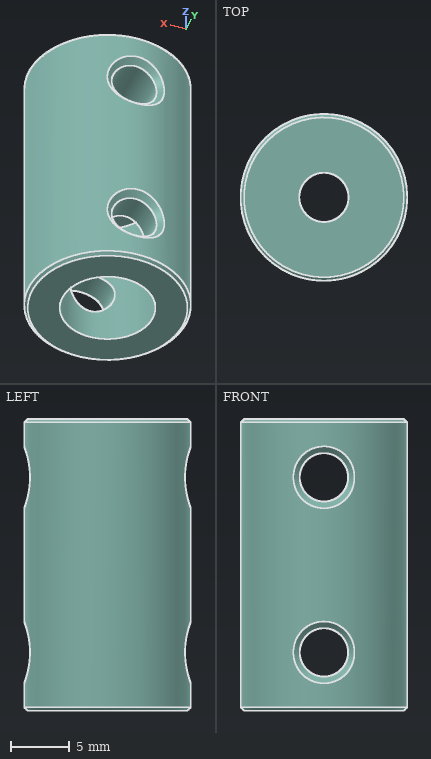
import cadquery as cq

length = 25.0
diameter = 14.3
edge_chamfer = 0.3

narrow_bore_diameter = 4.2
wide_bore_diameter = 8.2

cross_hole_diameter = 4.12
cross_hole_spacing = 15.0
cross_hole_rim_diameter = 5.3
cross_hole_chamfer = (cross_hole_rim_diameter - cross_hole_diameter) / 2


def make_body():
    body = cq.Workplane("XY").cylinder(length, diameter / 2)
    return body.faces("|Z").edges().chamfer(edge_chamfer)


def cut_cross_holes(body):
    offset = cross_hole_spacing / 2
    holes = (
        cq.Workplane("XZ").pushPoints([(0, -offset), (0, offset)])
        .circle(cross_hole_diameter / 2).extrude(diameter, both=True)
    )
    drilled = body.cut(holes)
    mouth_radius = cross_hole_rim_diameter / 2
    mouths = drilled.edges(cq.selectors.BoxSelector(
        (-mouth_radius, -diameter, -offset - mouth_radius),
        (mouth_radius, diameter, offset + mouth_radius),
    )).edges("not %LINE")
    return mouths.chamfer(cross_hole_chamfer)


def cut_stepped_bore(body):
    narrow_bore = cq.Workplane("XY").circle(narrow_bore_diameter / 2).extrude(length / 2)
    wide_bore = cq.Workplane("XY").circle(wide_bore_diameter / 2).extrude(-length / 2)
    return body.cut(narrow_bore).cut(wide_bore)


result = cut_stepped_bore(cut_cross_holes(make_body()))